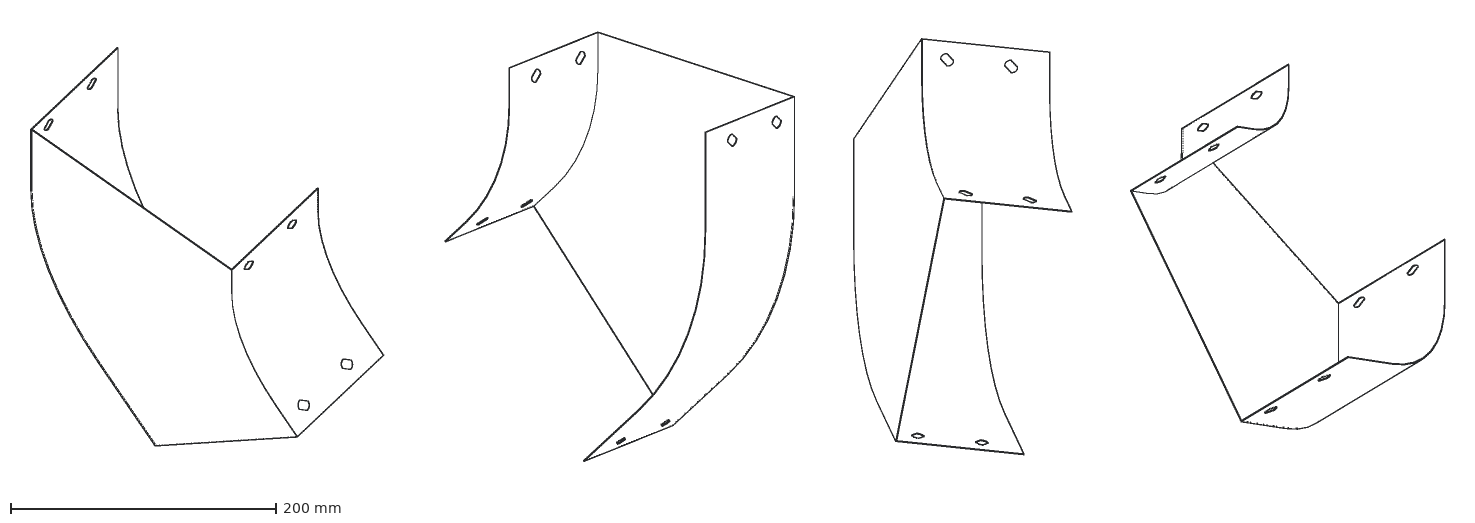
import cadquery as cq
import math

BEND_ANGLE = 45.0
TRAY_WIDTH = 200.0
TRAY_HEIGHT = 100.0
SHEET = 0.8
OUTER_RADIUS = 230.0
INNER_RADIUS = 150.0
INNER_STRAIGHT = 30.0

SLOT_LENGTH = 10.0
SLOT_WIDTH = 7.0
SLOT_TILT = 45.0
SLOT_END_DISTANCE = 15.0
SLOT_HEIGHTS = (20.0, 70.0)

HALF_TANGENT = math.tan(math.radians(BEND_ANGLE / 2))
INNER_CORNER = INNER_STRAIGHT + INNER_RADIUS * HALF_TANGENT
OUTER_CORNER = INNER_CORNER + TRAY_WIDTH * HALF_TANGENT


def path_points(offset):
    """Entry, arc start, arc middle, arc end and exit of a tray line as (x, z) points.

    The offset is measured from the outside face of the long flange.
    """
    corner = OUTER_CORNER - offset * HALF_TANGENT
    if offset < TRAY_WIDTH / 2:
        radius = OUTER_RADIUS - offset
    else:
        radius = INNER_RADIUS + TRAY_WIDTH - offset
    straight = corner - radius * HALF_TANGENT
    centre_x = offset + radius

    def on_arc(degrees):
        """Point on the bend, the given angle past its start."""
        angle = math.radians(degrees)
        return centre_x - radius * math.cos(angle), -straight - radius * math.sin(angle)

    arc_end = on_arc(BEND_ANGLE)
    bend = math.radians(BEND_ANGLE)
    exit_point = (arc_end[0] + straight * math.sin(bend), arc_end[1] - straight * math.cos(bend))
    return (offset, 0.0), (offset, -straight), on_arc(BEND_ANGLE / 2), arc_end, exit_point


def curved_band(first_offset, last_offset, height):
    """Solid between two tray lines, rising along +Y from Y = 0."""
    start, arc_start, arc_middle, arc_end, finish = path_points(first_offset)
    back_start, back_arc_start, back_arc_middle, back_arc_end, back_finish = path_points(last_offset)
    return (
        cq.Workplane("XZ")
        .moveTo(*start)
        .lineTo(*arc_start)
        .threePointArc(arc_middle, arc_end)
        .lineTo(*finish)
        .lineTo(*back_finish)
        .lineTo(*back_arc_end)
        .threePointArc(back_arc_middle, back_arc_start)
        .lineTo(*back_start)
        .close()
        .extrude(-height)
    )


def slot_cutter(plane, tilt):
    """Round bar with two parallel flats, centred on the plane's origin."""
    radius = SLOT_LENGTH / 2
    half_width = SLOT_WIDTH / 2
    flat_end = math.sqrt(radius**2 - half_width**2)
    return (
        cq.Workplane(plane)
        .transformed(rotate=(0, 0, tilt))
        .moveTo(-flat_end, -half_width)
        .lineTo(flat_end, -half_width)
        .threePointArc((radius, 0), (flat_end, half_width))
        .lineTo(-flat_end, half_width)
        .threePointArc((-radius, 0), (-flat_end, -half_width))
        .close()
        .extrude(2 * SHEET, both=True)
    )


def flange_slots(offset, tilt):
    """Cutters for the tilted slots at both ends of the flange whose middle line is at offset."""
    entry, _, _, _, finish = path_points(offset)
    bend = math.radians(BEND_ANGLE)
    entry_row = (entry[0], entry[1] - SLOT_END_DISTANCE)
    exit_row = (
        finish[0] - SLOT_END_DISTANCE * math.sin(bend),
        finish[1] + SLOT_END_DISTANCE * math.cos(bend),
    )
    end_rows = (
        (entry_row, (1.0, 0.0, 0.0)),
        (exit_row, (math.cos(bend), 0.0, math.sin(bend))),
    )
    cutters = cq.Workplane()
    for (x, z), normal in end_rows:
        for height in SLOT_HEIGHTS:
            plane = cq.Plane(origin=(x, height, z), xDir=(0, 1, 0), normal=normal)
            cutters = cutters.add(slot_cutter(plane, tilt))
    return cutters.combine()


web = curved_band(0.0, TRAY_WIDTH, SHEET)
long_flange = curved_band(0.0, SHEET, TRAY_HEIGHT)
short_flange = curved_band(TRAY_WIDTH - SHEET, TRAY_WIDTH, TRAY_HEIGHT)

long_flange = long_flange.cut(flange_slots(SHEET / 2, SLOT_TILT))
short_flange = short_flange.cut(flange_slots(TRAY_WIDTH - SHEET / 2, -SLOT_TILT))

result = web.union(long_flange).union(short_flange)